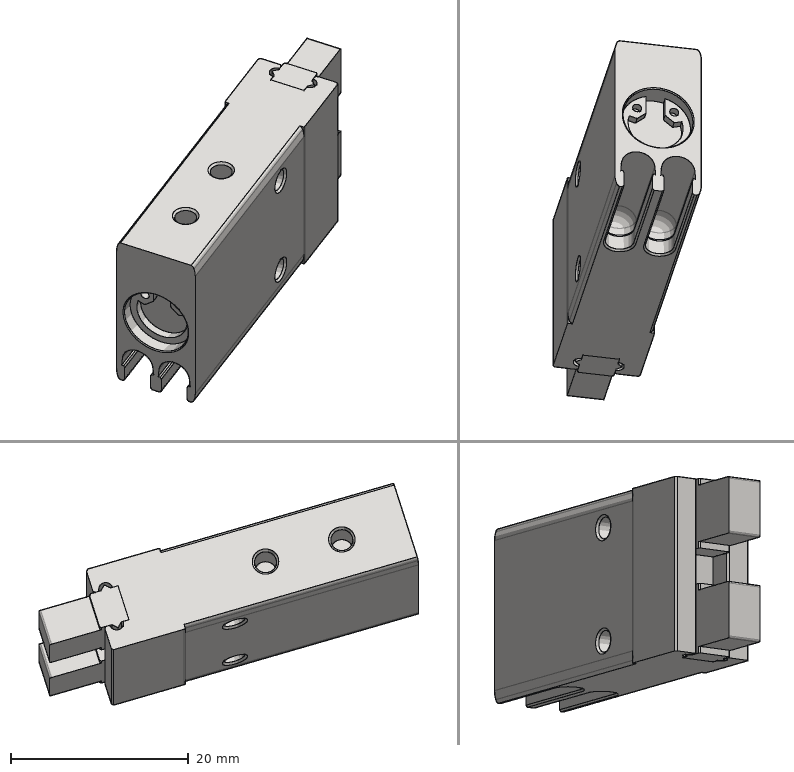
import cadquery as cq
import math

WIDTH = 10.0
HEIGHT = 20.0
LENGTH = 42.5
HALF_WIDTH = WIDTH / 2
HALF_HEIGHT = HEIGHT / 2

HEAD_END = 36.1
BARREL_LENGTH = 27.4
HEAD_CHAMFER = 0.2
BARREL_INSET = 0.05
STEP_BEVEL = 0.2
CORNER_START = 1.4
CORNER_BREAK = 0.4
CORNER_TOP = 0.55
CORNER_DROP = 0.15

JAW_WIDTH = 4.2
JAW_BACK = 33.2
JAW_FRONT = 36.6
RAIL_Y = 34.65
RAIL_HALF_HEIGHT = 0.55
RAIL_PROTRUSION = 0.55
GROOVE_DIAMETER = 1.57
SLOT_CHAMFER = 0.2

JAW_BASE_HEIGHT = 8.0
FINGER_HEIGHT = 6.5
JAW_CENTRE_Z = HALF_HEIGHT - JAW_BASE_HEIGHT / 2
JAW_CHAMFER = 0.15
TIP_FILLET = 0.2

HOLE_DIAMETER = 2.45
HOLE_CHAMFER = 0.25
CROSS_HOLE_Y = 21.6
CROSS_HOLE_Z = 6.5
PORT_YS = (7.52, 16.5)
PORT_DEPTH = 3.82

BORE_DIAMETER = 8.0
BORE_CHAMFER = 0.13
BORE_DEPTH = 2.45
RING_THICKNESS = 0.95
RING_INNER_RADIUS = 3.15
RING_GAP = 2.15
LUG_HOLE_DIAMETER = 1.0
LUG_HOLE_OFFSET = 2.12
LUG_CORNER_Z = 1.57
LUG_TIP = (2.12, 0.7)
LUG_SHOULDER = (7.0, 2.2)

SENSOR_SLOT_X = 2.3
SENSOR_SLOT_LENGTH = 12.75
SENSOR_NECK_RADIUS = 1.6
SENSOR_LEDGE_RADIUS = 2.0
SENSOR_LEDGE_HEIGHT = 2.2
SENSOR_DOME_RADIUS = 1.9
SENSOR_DOME_CENTRE = 3.1
SENSOR_WALL_TAPER = math.radians(5)
SENSOR_CHAMFER = 0.2
SENSOR_LEDGE_CHAMFER_WIDTH = 0.13
SENSOR_LEDGE_CHAMFER_HEIGHT = 0.25


def barrel():
    """Barrel with corners made of a wide side curve and a tight edge curve."""
    side = HALF_WIDTH - BARREL_INSET
    curve_height = CORNER_START - CORNER_BREAK
    curve_radius = (curve_height**2 + CORNER_DROP**2) / (2 * CORNER_DROP)
    half_angle = math.asin(curve_height / curve_radius) / 2
    side_start = (side, HALF_HEIGHT - CORNER_START)
    side_mid = (
        side - curve_radius * (1 - math.cos(half_angle)),
        side_start[1] + curve_radius * math.sin(half_angle),
    )
    side_end = (side - CORNER_DROP, HALF_HEIGHT - CORNER_BREAK)
    top_end = (HALF_WIDTH - CORNER_TOP, HALF_HEIGHT)
    quarter = (
        cq.Workplane("XZ")
        .lineTo(side, 0)
        .lineTo(*side_start)
        .threePointArc(side_mid, side_end)
        .tangentArcPoint(top_end, relative=False)
        .lineTo(0, HALF_HEIGHT)
        .close()
        .extrude(-BARREL_LENGTH - STEP_BEVEL)
    )
    half = quarter.union(quarter.mirror("YZ"))
    return half.union(half.mirror("XY")).clean()


def head():
    """Square head, chamfered on its front corners and bevelled down to the barrel."""
    outline = [
        (HALF_WIDTH - BARREL_INSET, BARREL_LENGTH),
        (HALF_WIDTH, BARREL_LENGTH + STEP_BEVEL),
        (HALF_WIDTH, HEAD_END - HEAD_CHAMFER),
        (HALF_WIDTH - HEAD_CHAMFER, HEAD_END),
    ]
    return prism(with_mirror(outline), HEIGHT, 0)


def with_mirror(points):
    """Outline closed by the mirror image of its +X half."""
    return points + [(-x, y) for x, y in reversed(points)]


def prism(points, height, centre_z):
    """Upright prism over an XY outline, centred on a given height."""
    base = cq.Workplane("XY").workplane(offset=centre_z - height / 2)
    return base.polyline(points).close().extrude(height)


def jaw_slot():
    """Guide slot with flared mouth and round rail grooves as deep as the jaw bases."""
    half = JAW_WIDTH / 2
    outline = [
        (half, JAW_BACK),
        (half, HEAD_END - SLOT_CHAMFER),
        (half + SLOT_CHAMFER, HEAD_END),
    ]
    slot = prism(with_mirror(outline), HEIGHT, 0)
    upper_grooves = (
        cq.Workplane("XY")
        .workplane(offset=HALF_HEIGHT - JAW_BASE_HEIGHT)
        .pushPoints([(half, RAIL_Y), (-half, RAIL_Y)])
        .circle(GROOVE_DIAMETER / 2)
        .extrude(JAW_BASE_HEIGHT)
    )
    return slot.union(upper_grooves).union(upper_grooves.mirror("XY"))


def countersunk_hole(depth, diameter, chamfer):
    """Cutter along +Z from the origin with a chamfered mouth."""
    radius = diameter / 2
    return (
        cq.Workplane("XZ")
        .polyline([(0, 0), (radius + chamfer, 0), (radius, chamfer), (radius, depth), (0, depth)])
        .close()
        .revolve(360, (0, 0), (0, 1))
    )


def cross_holes():
    """Two holes through the width, chamfered at both ends."""
    half_hole = countersunk_hole(HALF_WIDTH - BARREL_INSET, HOLE_DIAMETER, HOLE_CHAMFER)
    half_hole = half_hole.rotate((0, 0, 0), (0, 1, 0), 90)
    half_hole = half_hole.translate((BARREL_INSET - HALF_WIDTH, CROSS_HOLE_Y, 0))
    hole = half_hole.union(half_hole.mirror("YZ"))
    upper = hole.translate((0, 0, CROSS_HOLE_Z))
    return upper.union(upper.mirror("XY"))


def port_holes():
    """Blind holes in the top face."""
    hole = countersunk_hole(PORT_DEPTH, HOLE_DIAMETER, HOLE_CHAMFER)
    hole = hole.rotate((0, 0, 0), (1, 0, 0), 180)
    ports = cq.Workplane("XY")
    for y in PORT_YS:
        ports = ports.union(hole.translate((0, y, HALF_HEIGHT)))
    return ports


def bore():
    """Round recess in the port end."""
    recess = countersunk_hole(BORE_DEPTH, BORE_DIAMETER, BORE_CHAMFER)
    return recess.rotate((0, 0, 0), (1, 0, 0), -90)


def retaining_ring():
    """Open ring with two drilled lugs, seated on the floor of the bore."""
    gap = RING_GAP / 2
    gap_top = math.sqrt((BORE_DIAMETER / 2) ** 2 - gap**2)
    shoulder_radius = math.hypot(*LUG_SHOULDER)
    start = [value * RING_INNER_RADIUS / shoulder_radius for value in LUG_SHOULDER]
    back = cq.Workplane("XZ").workplane(offset=-BORE_DEPTH)
    ring = (
        back.moveTo(gap, gap_top)
        .lineTo(gap, LUG_CORNER_Z)
        .lineTo(*LUG_TIP)
        .lineTo(*start)
        .threePointArc((0, -RING_INNER_RADIUS), (-start[0], start[1]))
        .lineTo(-LUG_TIP[0], LUG_TIP[1])
        .lineTo(-gap, LUG_CORNER_Z)
        .lineTo(-gap, gap_top)
        .threePointArc((0, -BORE_DIAMETER / 2), (gap, gap_top))
        .close()
        .extrude(RING_THICKNESS)
    )
    lug_holes = (
        back.pushPoints([(LUG_HOLE_OFFSET, LUG_HOLE_OFFSET), (-LUG_HOLE_OFFSET, LUG_HOLE_OFFSET)])
        .circle(LUG_HOLE_DIAMETER / 2)
        .extrude(RING_THICKNESS)
    )
    return ring.cut(lug_holes)


def dome_point(angle):
    """Point on the sensor slot's dome, at an angle above its horizontal radius."""
    return (
        SENSOR_DOME_RADIUS * math.cos(angle),
        SENSOR_DOME_CENTRE + SENSOR_DOME_RADIUS * math.sin(angle),
    )


def sensor_half_section():
    """Half outline of the sensor slot, from its mouth up to the crown of its domed roof."""
    neck = SENSOR_NECK_RADIUS
    return (
        cq.Workplane("XZ")
        .lineTo(neck + SENSOR_CHAMFER, 0)
        .lineTo(neck, SENSOR_CHAMFER)
        .lineTo(neck, SENSOR_LEDGE_HEIGHT - SENSOR_LEDGE_CHAMFER_HEIGHT)
        .lineTo(neck + SENSOR_LEDGE_CHAMFER_WIDTH, SENSOR_LEDGE_HEIGHT)
        .lineTo(SENSOR_LEDGE_RADIUS, SENSOR_LEDGE_HEIGHT)
        .lineTo(*dome_point(SENSOR_WALL_TAPER))
        .threePointArc(dome_point(math.pi / 4), dome_point(math.pi / 2))
        .close()
    )


def sensor_slot():
    """Undercut slot with a domed roof, rounded at its closed end."""
    straight_length = SENSOR_SLOT_LENGTH - SENSOR_LEDGE_RADIUS
    half_run = sensor_half_section().extrude(-straight_length)
    run = half_run.union(half_run.mirror("YZ"))
    end = sensor_half_section().revolve(360, (0, 0), (0, 1)).translate((0, straight_length, 0))
    return run.union(end).translate((0, 0, -HALF_HEIGHT))


def make_housing():
    """Housing with every recess cut, then the retaining ring seated in its bore."""
    body = barrel().union(head()).cut(jaw_slot()).cut(cross_holes()).cut(port_holes())
    for side in (-1, 1):
        body = body.cut(sensor_slot().translate((side * SENSOR_SLOT_X, 0, 0)))
    return body.cut(bore()).union(retaining_ring())


def make_jaw(side):
    """Jaw with a ribbed base in the guide slot and a shorter finger; side is +1 up or -1 down."""
    half = JAW_WIDTH / 2
    centre_z = side * JAW_CENTRE_Z
    outline = [
        (half, JAW_BACK),
        (half, RAIL_Y - RAIL_HALF_HEIGHT),
        (half + RAIL_PROTRUSION, RAIL_Y),
        (half, RAIL_Y + RAIL_HALF_HEIGHT),
        (half, JAW_FRONT - JAW_CHAMFER),
        (half - JAW_CHAMFER, JAW_FRONT),
    ]
    base = prism(with_mirror(outline), JAW_BASE_HEIGHT, centre_z)
    finger_length = LENGTH - JAW_BACK
    finger = (
        cq.Workplane("XY")
        .box(JAW_WIDTH, finger_length, FINGER_HEIGHT)
        .faces(">Y")
        .edges("|X")
        .fillet(TIP_FILLET)
        .translate((0, JAW_BACK + finger_length / 2, centre_z))
    )
    return base.union(finger)


housing = make_housing()
jaws = [make_jaw(side) for side in (1, -1)]
result = cq.Compound.makeCompound([housing.solids().val(), *[jaw.solids().val() for jaw in jaws]])